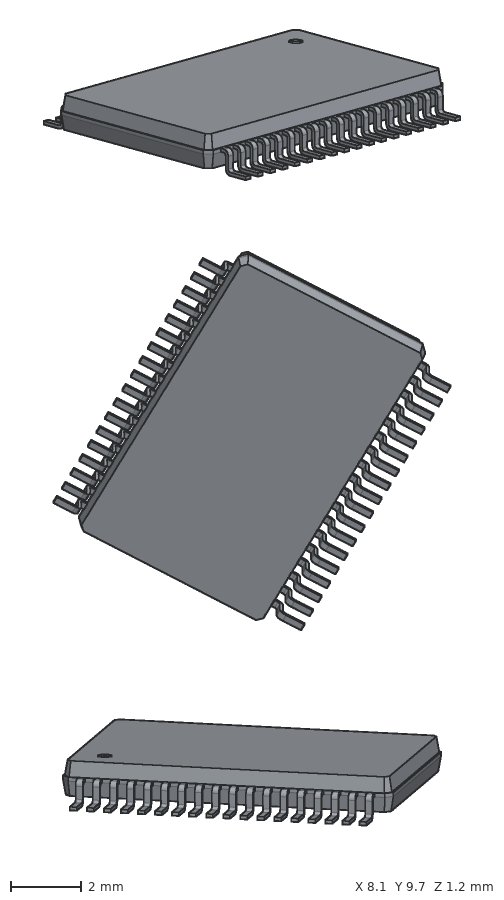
import cadquery as cq

overall_width = 8.1
height = 1.2
body_width = 6.1
body_length = 9.7
standoff = 0.18

lead_count = 18
lead_row_span = 8.5
lead_width = 0.2
lead_thickness = 0.11
leg_offset = 0.7
shoulder_radius = 0.17
ankle_radius = 0.09
lead_embed = 0.19

corner_chamfer = 0.2
ledge = 0.05
upper_taper = 0.08
lower_taper = 0.08
upper_base_chamfer = 0.17
top_chamfer = 0.13
bottom_chamfer = 0.16

marker_diameter = 0.4
marker_inset = 1.03
marker_depth = 0.05

lead_pitch = lead_row_span / (lead_count - 1)

band_bottom = (standoff + height - lead_thickness) / 2
band_top = band_bottom + lead_thickness


def outline(inset, chamfer):
    """Body rectangle moved inwards by inset, with its four corners cut at 45 degrees."""
    return (
        cq.Sketch()
        .rect(body_width - 2 * inset, body_length - 2 * inset)
        .vertices()
        .chamfer(chamfer)
    )


def tapered_block(base_z, base_outline, end_z, end_outline):
    """Block with flat sloping sides between two horizontal outlines."""
    return (
        cq.Workplane("XY")
        .placeSketch(
            base_outline.moved(cq.Location(cq.Vector(0, 0, base_z))),
            end_outline.moved(cq.Location(cq.Vector(0, 0, end_z))),
        )
        .loft(ruled=True)
    )


def make_body():
    band_outline = outline(0, corner_chamfer)
    lower = tapered_block(
        standoff, outline(lower_taper, bottom_chamfer), band_bottom, band_outline
    )
    band = (
        cq.Workplane("XY", origin=(0, 0, band_bottom))
        .placeSketch(band_outline)
        .extrude(lead_thickness)
    )
    upper = tapered_block(
        band_top,
        outline(ledge, upper_base_chamfer),
        height,
        outline(ledge + upper_taper, top_chamfer),
    )
    return lower.union(band).union(upper)


def make_marker():
    """Cutter for the shallow round pin 1 recess in the top face."""
    return (
        cq.Workplane("XY", origin=(0, 0, height - marker_depth))
        .center(marker_inset - body_width / 2, body_length / 2 - marker_inset)
        .circle(marker_diameter / 2)
        .extrude(marker_depth)
    )


def make_lead():
    """Gull-wing lead on the -X side, centred on Y = 0."""
    tip_x = -overall_width / 2
    leg_outer_x = tip_x + leg_offset
    leg_inner_x = leg_outer_x + lead_thickness
    root_x = -body_width / 2 + lead_embed
    shoulder_inner_radius = shoulder_radius - lead_thickness
    ankle_outer_radius = ankle_radius + lead_thickness
    shoulder_x = leg_outer_x + shoulder_radius
    shoulder_z = band_top - shoulder_radius
    ankle_x = leg_outer_x - ankle_radius
    ankle_z = lead_thickness + ankle_radius
    return (
        cq.Workplane("XZ", origin=(0, lead_width / 2, 0))
        .moveTo(tip_x, 0)
        .lineTo(ankle_x, 0)
        .radiusArc((leg_inner_x, ankle_z), -ankle_outer_radius)
        .lineTo(leg_inner_x, shoulder_z)
        .radiusArc((shoulder_x, band_bottom), shoulder_inner_radius)
        .lineTo(root_x, band_bottom)
        .lineTo(root_x, band_top)
        .lineTo(shoulder_x, band_top)
        .radiusArc((leg_outer_x, shoulder_z), -shoulder_radius)
        .lineTo(leg_outer_x, ankle_z)
        .radiusArc((ankle_x, lead_thickness), ankle_radius)
        .lineTo(tip_x, lead_thickness)
        .close()
        .extrude(lead_width)
    )


left_lead = make_lead()
right_lead = left_lead.mirror("YZ")

result = make_body().cut(make_marker())
for index in range(lead_count):
    lead_y = (index - (lead_count - 1) / 2) * lead_pitch
    for lead in (left_lead, right_lead):
        result = result.union(lead.translate((0, lead_y, 0)))